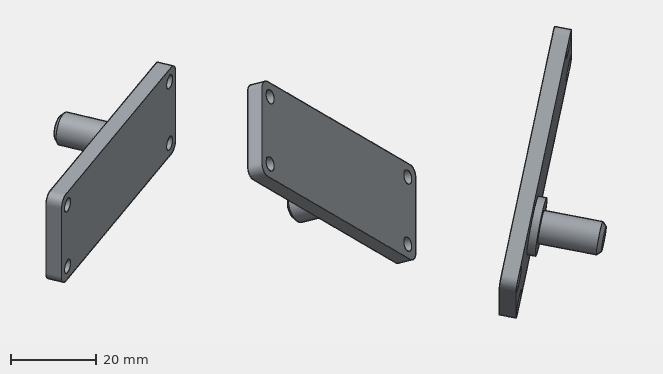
import cadquery as cq

plate_length = 66.0
plate_height = 24.0
plate_thickness = 4.0
corner_radius = 2.5

hole_diameter = 3.4
countersink_diameter = 6.2
countersink_angle = 90.0
hole_edge_distance = 3.5

pin_diameter = 8.0
pin_chamfer = 1.0
collar_diameter = 14.0
collar_thickness = 2.0
pin_reach = 16.95
pin_end_distance = 20.0
pin_y = plate_length / 2 - pin_end_distance


def front_plane(y=0.0):
    """Plane on the plate's front face, facing -X; its local x is -Y and its local y is +Z."""
    return cq.Plane(origin=(0, y, 0), xDir=(0, -1, 0), normal=(-1, 0, 0))


def make_plate():
    """Rounded rectangular plate with four countersunk holes."""
    blank = (
        cq.Workplane(front_plane())
        .rect(plate_length, plate_height)
        .extrude(-plate_thickness)
        .edges("|X")
        .fillet(corner_radius)
    )
    return (
        blank.faces("<X")
        .workplane(origin=(0, 0, 0))
        .rect(
            plate_length - 2 * hole_edge_distance,
            plate_height - 2 * hole_edge_distance,
            forConstruction=True,
        )
        .vertices()
        .cskHole(hole_diameter, countersink_diameter, countersink_angle)
    )


def make_pin():
    """Round pin with a chamfered tip and a collar at its base."""
    shaft = (
        cq.Workplane(front_plane(pin_y))
        .circle(pin_diameter / 2)
        .extrude(pin_reach)
        .faces("<X")
        .chamfer(pin_chamfer)
    )
    collar = (
        cq.Workplane(front_plane(pin_y))
        .circle(collar_diameter / 2)
        .extrude(collar_thickness)
    )
    return shaft.union(collar)


plate = make_plate()
pin = make_pin()

result = cq.Compound.makeCompound([plate.val(), pin.val()])